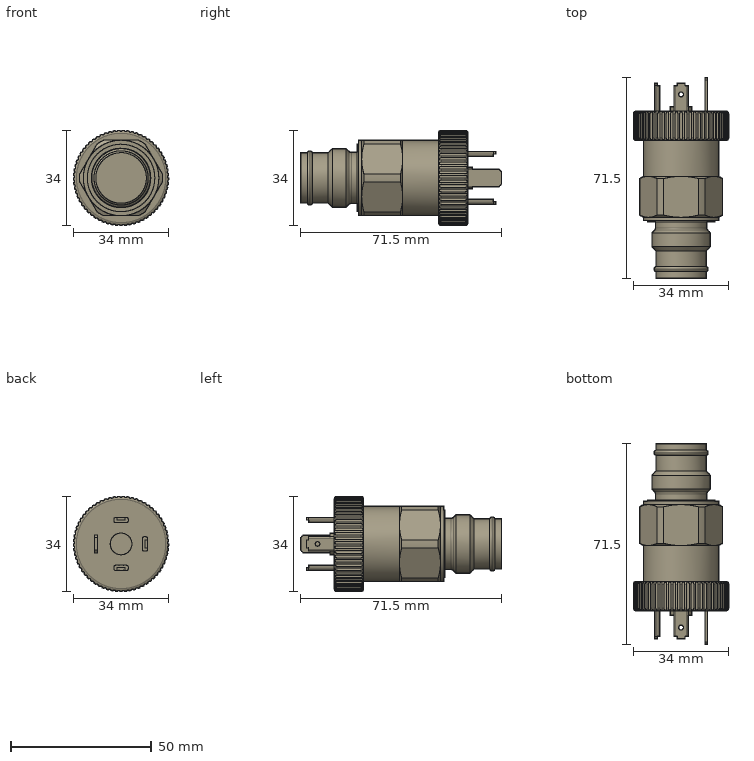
import cadquery as cq
import math


bead_start = 2.35
bead_end = 4.2
front_cone_start = 9.8
front_cone_end = 11.3
bulge_end = 16.25
hex_step_y = 20.1
hex_shoulder_y = 20.5
hex_front_y = 21.75
hex_back_y = 36.35
collar_front_y = 49.1
collar_back_y = 59.6
boss_top_y = 61.2
hole_y = 65.55
shoulder_y = 68.7
narrow_tip_y = 69.55
wide_tip_y = 71.55

tip_radius = 9.0
bulge_radius = 10.45
neck_radius = 9.15
neck_fillet = 1.2
bulge_back_angle = 45
bead_radius = 9.65
bead_fillet = 0.85
step_radius = 12.0
body_radius = 13.45
collar_diameter = 34.0
collar_radius = collar_diameter / 2
collar_fillet = 1.1
boss_radius = 3.85

recess_radius = 10.6
recess_depth = 0.9

hex_corner_radius = 14.8
hex_chamfer_angle = 30

groove_count = 65
groove_radius = 0.5
groove_depth = 0.35

blade_outer = 9.45
blade_sheet = 1.0
wide_half_width = 3.15
wide_chamfer = 0.9
folded_half_width = 2.6
folded_thickness = 1.85
fold_radius = 0.65
narrow_half_width = 1.4
hole_diameter = 1.65


def revolved(profile):
    """Turn a closed (radius, Y) profile about the Y axis."""
    return profile.close().revolve(360, (0, 0, 0), (0, 1, 0))


def disc(radius, start, end):
    """Round bar on the Y axis between two Y places."""
    return cq.Workplane("XZ", origin=(0, start, 0)).circle(radius).extrude(start - end)


def blade_block(thickness, start, end, half_width):
    """Box centred on Z = 0, its outer face at the blades' outer X, between two Y places."""
    box = cq.Workplane("XY").box(thickness, end - start, 2 * half_width, centered=(False, False, True))
    return box.translate((blade_outer - thickness, start, 0))


def make_plug():
    """Stepped front end: tip, sealing bulge and neck, with a rounded bead on the tip."""
    bend = math.radians(bulge_back_angle)
    fillet_start_radius = neck_radius + neck_fillet * (1 - math.cos(bend))
    fillet_start_y = bulge_end + (bulge_radius - fillet_start_radius) / math.tan(bend)
    fillet_end_y = fillet_start_y + neck_fillet * math.sin(bend)
    mid_point = (
        neck_radius + neck_fillet * (1 - math.cos(bend / 2)),
        fillet_end_y - neck_fillet * math.sin(bend / 2),
    )
    profile = (
        cq.Workplane("XY")
        .moveTo(0, 0)
        .lineTo(tip_radius, 0)
        .lineTo(tip_radius, front_cone_start)
        .lineTo(bulge_radius, front_cone_end)
        .lineTo(bulge_radius, bulge_end)
        .lineTo(fillet_start_radius, fillet_start_y)
        .threePointArc(mid_point, (neck_radius, fillet_end_y))
        .lineTo(neck_radius, hex_step_y + recess_depth)
        .lineTo(0, hex_step_y + recess_depth)
    )
    bead = disc(bead_radius, bead_start, bead_end).edges().fillet(bead_fillet)
    return revolved(profile).union(bead)


def make_nut():
    """Hexagon with flats facing +Z and -Z, its corners turned round and chamfered."""
    chamfer_run = (hex_corner_radius - body_radius) * math.tan(math.radians(hex_chamfer_angle))
    hexagon_diameter = 2 * body_radius / math.cos(math.pi / 6)
    hexagon = (
        cq.Workplane("XZ", origin=(0, hex_front_y, 0))
        .polygon(6, hexagon_diameter)
        .extrude(hex_front_y - hex_back_y)
    )
    turned = revolved(
        cq.Workplane("XY")
        .moveTo(0, hex_front_y)
        .lineTo(body_radius, hex_front_y)
        .lineTo(hex_corner_radius, hex_front_y + chamfer_run)
        .lineTo(hex_corner_radius, hex_back_y - chamfer_run)
        .lineTo(body_radius, hex_back_y)
        .lineTo(0, hex_back_y)
    )
    return hexagon.intersect(turned)


def make_body():
    """Nut, round housing and front steps, with the recess around the neck."""
    body = (
        make_nut()
        .union(disc(step_radius, hex_step_y, hex_front_y))
        .union(disc(body_radius, hex_shoulder_y, hex_front_y))
        .union(disc(body_radius, hex_back_y, collar_front_y))
    )
    recess = revolved(
        cq.Workplane("XY")
        .moveTo(0, hex_step_y)
        .lineTo(recess_radius, hex_step_y)
        .lineTo(neck_radius, hex_step_y + recess_depth)
        .lineTo(0, hex_step_y + recess_depth)
    )
    return body.cut(recess)


def make_collar():
    """Collar with rounded rims and straight round-bottomed grooves all around."""
    collar = disc(collar_radius, collar_front_y, collar_back_y).edges().fillet(collar_fillet)
    groove_centre = collar_radius - groove_depth + groove_radius
    grooves = (
        cq.Workplane("XZ", origin=(0, collar_front_y, 0))
        .polarArray(groove_centre, 90, 360, groove_count)
        .circle(groove_radius)
        .extrude(collar_front_y - collar_back_y)
    )
    return collar.cut(grooves)


def make_wide_blade():
    """Flat blade on the +X side with chamfered tip corners."""
    blade = blade_block(blade_sheet, collar_back_y, wide_tip_y, wide_half_width)
    return blade.faces(">Y").edges("|X").chamfer(wide_chamfer)


def make_folded_blade():
    """Folded blade on the +X side: thick rounded strip, thin narrow tip and a cross hole."""
    strip = blade_block(folded_thickness, collar_back_y, shoulder_y, folded_half_width)
    strip = strip.edges("|Y").fillet(fold_radius)
    tip = blade_block(blade_sheet, shoulder_y, narrow_tip_y, narrow_half_width)
    hole = cq.Workplane("YZ").center(hole_y, 0).circle(hole_diameter / 2).extrude(blade_outer)
    return strip.union(tip).cut(hole)


folded_blade_angles = (90, 180, 270)

result = make_plug().union(make_body()).union(make_collar())
result = result.union(disc(boss_radius, collar_back_y, boss_top_y))
result = result.union(make_wide_blade())
for angle in folded_blade_angles:
    result = result.union(make_folded_blade().rotate((0, 0, 0), (0, 1, 0), angle))